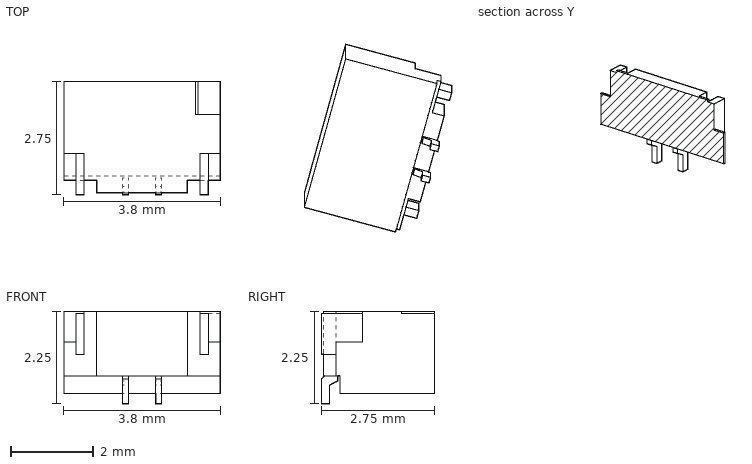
import cadquery as cq

width = 3.8
depth = 2.75
height = 2.0
center_x = width / 2

wing_front = 0.35
base_front = 0.452
base_height = 0.43
nose_front = 0.05
nose_width = 2.2

recess_width = 0.495
recess_back = 1.0
recess_floor = 1.255

tab_thickness = 0.2
tab_height = 1.0
tab_top_gap = 0.05

marker_width = 0.6
marker_length = 0.8
marker_depth = 0.05
marker_slope = 0.055

pin_pitch = 0.8
pin_width = 0.15
pin_thickness = 0.2
pin_bottom = -0.25
pin_back = 0.403
pin_heel = 0.308
pin_bend = 0.205
pin_chamfer_y = 0.07
pin_chamfer_z = 0.075


def box(x0, x1, y0, y1, z0, z1):
    """Axis-aligned block between two opposite corners."""
    return cq.Workplane("XY").box(x1 - x0, y1 - y0, z1 - z0, centered=False).translate((x0, y0, z0))


def make_housing():
    nose_left = center_x - nose_width / 2
    base = box(0, width, base_front, depth, 0, height)
    wings = box(0, width, wing_front, depth, base_height, height)
    nose = box(nose_left, nose_left + nose_width, nose_front, depth / 2, base_height, height)
    return base.union(wings).union(nose)


def make_marker_pocket():
    left = width - marker_width
    floor = height - marker_depth
    profile = [(left, height), (left + marker_slope, floor), (width, floor), (width, height)]
    pocket = cq.Workplane("XZ").polyline(profile).close().extrude(-marker_length)
    return pocket.translate((0, depth - marker_length, 0))


def make_recess(left):
    return box(left, left + recess_width, 0, recess_back, recess_floor, height)


def make_tab(left):
    top = height - tab_top_gap
    return box(left, left + tab_thickness, 0, recess_back, top - tab_height, top)


def make_pin(middle):
    profile = [
        (pin_back, base_height),
        (pin_chamfer_y, base_height),
        (0, base_height - pin_chamfer_z),
        (0, pin_bottom),
        (pin_thickness, pin_bottom),
        (pin_thickness, pin_bend),
        (pin_back, pin_heel),
    ]
    pin = cq.Workplane("YZ").polyline(profile).close().extrude(pin_width / 2, both=True)
    return pin.translate((middle, 0, 0))


result = make_housing().cut(make_marker_pocket())

for recess_left in (0, width - recess_width):
    result = result.cut(make_recess(recess_left))

for tab_left in (recess_width - tab_thickness, width - recess_width):
    result = result.union(make_tab(tab_left))

for side in (-1, 1):
    result = result.union(make_pin(center_x + side * pin_pitch / 2))